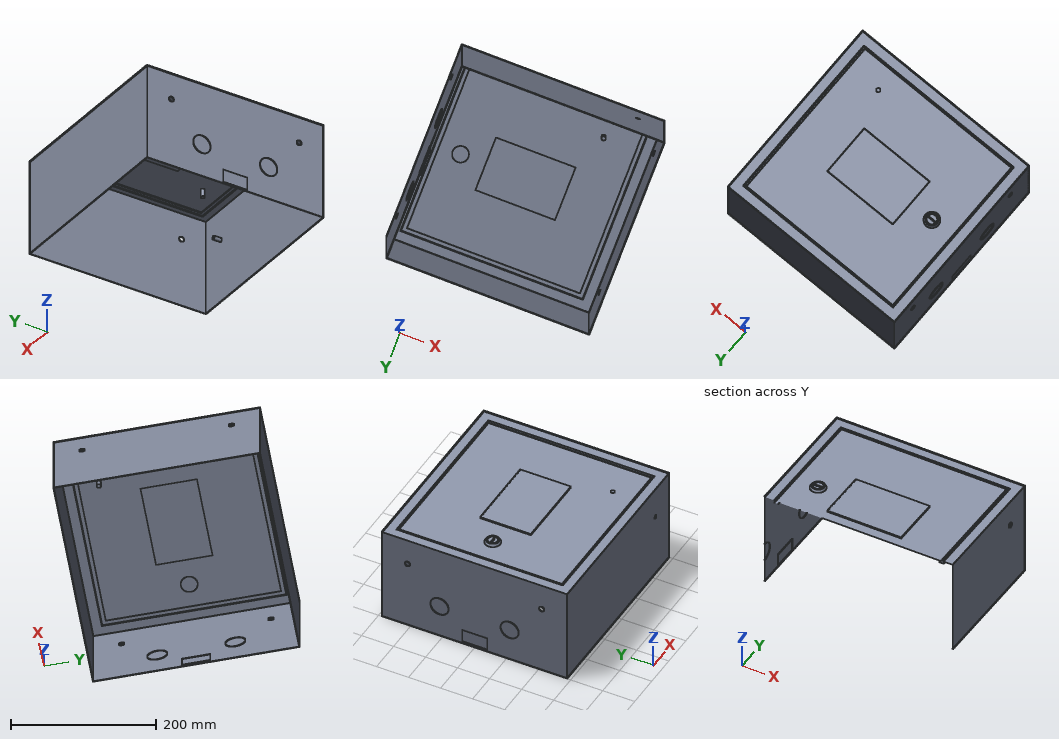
import cadquery as cq

LENGTH = 300.0
WIDTH = 290.0
HEIGHT = 150.0
SHEET = 1.0
FRAME = 16.2
RIM_DEPTH = 4.0
LEDGE_WIDTH = 6.0
LEDGE_TOP_Z = HEIGHT - RIM_DEPTH
LEDGE_BOTTOM_Z = LEDGE_TOP_Z - SHEET
OPENING_LENGTH = LENGTH - 2 * FRAME
OPENING_WIDTH = WIDTH - 2 * FRAME
INNER_X = LENGTH / 2 - SHEET
INNER_Y = WIDTH / 2 - SHEET

SIDE_HOLE_DIAMETER = 7.8
SIDE_HOLE_SPACING = 209.5
SIDE_HOLE_Z = 108.0
KNOCKOUT_DIAMETER = 28.2
KNOCKOUT_SPACING = 109.5
KNOCKOUT_Z = 51.5

PAD_WIDTH = 39.5
PAD_HEIGHT = 19.8
PAD_THICKNESS = SHEET
PAD_BOTTOM_Z = 3.0

STUD_DIAMETER = 6.0
STUD_LENGTH = 12.0
WALL_STUD_X = 110.7
WALL_STUD_Z = 99.5
DOOR_STUD_X = 79.2
DOOR_STUD_Y = -94.2

DOOR_TOP_Z = HEIGHT - SHEET
DOOR_BOTTOM_Z = DOOR_TOP_Z - SHEET
DOOR_GAP = 1.5
HINGE_GAP = 3.0

PLATE_LENGTH = 117.5
PLATE_WIDTH = 79.2
PLATE_THICKNESS = 2.0

LOCK_X = -96.0
LOCK_TOP_Z = 152.7
LOCK_BASE_RADIUS = 11.7
LOCK_TOP_RADIUS = 9.3
LOCK_CORE_RADIUS = 7.2
LOCK_CORE_DEPTH = 0.3
KEYWAY_LENGTH = 10.0
KEYWAY_WIDTH = 1.2
KEYWAY_DEPTH = 1.5


def box_between(x_range, y_range, z_range):
    """Block that spans the given (low, high) ranges."""
    size = [high - low for low, high in (x_range, y_range, z_range)]
    corner = (x_range[0], y_range[0], z_range[0])
    return cq.Workplane("XY").box(*size, centered=False).translate(corner)


def centred_block(length, width, bottom_z, top_z):
    """Block centred on the Z axis between two heights."""
    return box_between((-length / 2, length / 2), (-width / 2, width / 2), (bottom_z, top_z))


def knockout_disc(y):
    """Disc that fills a knockout hole in the -X wall."""
    return (
        cq.Workplane("YZ", origin=(-LENGTH / 2, y, KNOCKOUT_Z))
        .circle(KNOCKOUT_DIAMETER / 2)
        .extrude(SHEET)
    )


def side_hole_cutter(y):
    """Drill that passes through both end walls."""
    return (
        cq.Workplane("YZ", origin=(-LENGTH / 2, y, SIDE_HOLE_Z))
        .circle(SIDE_HOLE_DIAMETER / 2)
        .extrude(LENGTH)
    )


def make_door_rim():
    """Flange folded down around the door opening, then inward as a ledge under the door."""
    outer_length = OPENING_LENGTH + 2 * SHEET
    outer_width = OPENING_WIDTH + 2 * SHEET
    rim = centred_block(outer_length, outer_width, LEDGE_BOTTOM_Z, HEIGHT)
    recess = centred_block(OPENING_LENGTH, OPENING_WIDTH, LEDGE_TOP_Z, HEIGHT)
    window = centred_block(
        OPENING_LENGTH - 2 * LEDGE_WIDTH, OPENING_WIDTH - 2 * LEDGE_WIDTH, LEDGE_BOTTOM_Z, HEIGHT
    )
    return rim.cut(recess).cut(window)


def make_housing(knockouts):
    """Box with the door rim, drilled side holes, knockout holes and the wall stud."""
    shell = centred_block(LENGTH, WIDTH, 0, HEIGHT)
    cavity = centred_block(2 * INNER_X, 2 * INNER_Y, 0, HEIGHT - SHEET)
    opening = centred_block(OPENING_LENGTH, OPENING_WIDTH, 0, HEIGHT)
    housing = shell.cut(cavity).cut(opening).union(make_door_rim())
    for side in (-1, 1):
        housing = housing.cut(side_hole_cutter(side * SIDE_HOLE_SPACING / 2))
    for knockout in knockouts:
        housing = housing.cut(knockout)
    stud = (
        cq.Workplane("XZ", origin=(WALL_STUD_X, -INNER_Y, WALL_STUD_Z))
        .circle(STUD_DIAMETER / 2)
        .extrude(-STUD_LENGTH)
    )
    return housing.union(stud)


def make_pad():
    """Flat pad against the inner face of the -X wall."""
    return box_between(
        (-INNER_X, -INNER_X + PAD_THICKNESS),
        (-PAD_WIDTH / 2, PAD_WIDTH / 2),
        (PAD_BOTTOM_Z, PAD_BOTTOM_Z + PAD_HEIGHT),
    )


def make_door():
    """Flat sheet with a wider gap on the +X hinge side and a stud underneath."""
    opening_x = OPENING_LENGTH / 2
    door_y = OPENING_WIDTH / 2 - DOOR_GAP
    sheet = box_between(
        (-opening_x + DOOR_GAP, opening_x - HINGE_GAP),
        (-door_y, door_y),
        (DOOR_BOTTOM_Z, DOOR_TOP_Z),
    )
    stud = (
        cq.Workplane("XY", origin=(DOOR_STUD_X, DOOR_STUD_Y, DOOR_BOTTOM_Z))
        .circle(STUD_DIAMETER / 2)
        .extrude(-STUD_LENGTH)
    )
    return sheet.union(stud)


def make_name_plate():
    """Flat plate lying on the middle of the door."""
    return (
        cq.Workplane("XY", origin=(0, 0, DOOR_TOP_Z))
        .rect(PLATE_LENGTH, PLATE_WIDTH)
        .extrude(PLATE_THICKNESS)
    )


def make_lock():
    """Conical rosette with a sunken core and a keyway."""
    core_z = LOCK_TOP_Z - LOCK_CORE_DEPTH
    profile = [
        (0, DOOR_TOP_Z),
        (LOCK_BASE_RADIUS, DOOR_TOP_Z),
        (LOCK_TOP_RADIUS, LOCK_TOP_Z),
        (LOCK_CORE_RADIUS, LOCK_TOP_Z),
        (LOCK_CORE_RADIUS, core_z),
        (0, core_z),
    ]
    rosette = cq.Workplane("XZ").polyline(profile).close().revolve(360, (0, 0), (0, 1))
    keyway = (
        cq.Workplane("XY", origin=(0, 0, core_z))
        .rect(KEYWAY_LENGTH, KEYWAY_WIDTH)
        .extrude(-KEYWAY_DEPTH)
    )
    return rosette.cut(keyway).translate((LOCK_X, 0, 0))


knockouts = [knockout_disc(side * KNOCKOUT_SPACING / 2) for side in (-1, 1)]
housing = make_housing(knockouts)
pad = make_pad()
door = make_door()
name_plate = make_name_plate()
lock = make_lock()

result = cq.Compound.makeCompound(
    [
        housing.val(),
        pad.val(),
        door.val(),
        name_plate.val(),
        lock.val(),
        *[knockout.val() for knockout in knockouts],
    ]
)